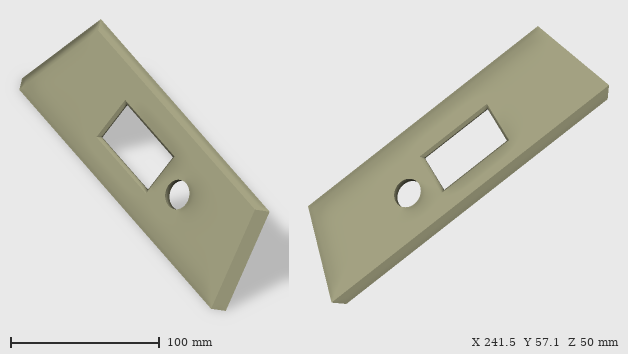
import cadquery as cq
import math

LENGTH = 241.5
HEIGHT = 50.0
THICKNESS = 5.0
LEAN = math.radians(45)
END_TAPER = math.radians(22.5)

OPENING_RISE = 0.5

WINDOW_X = -12.8
WINDOW_WIDTH = 54.8
WINDOW_HEIGHT = 29.2
WINDOW_CHAMFER = 2.0

HOLE_X = 36.7
HOLE_DIAMETER = 20.0

run = HEIGHT / math.tan(LEAN)
depth_offset = THICKNESS / math.sin(LEAN)

face_plane = cq.Plane(
    origin=(0, run / 2, HEIGHT / 2),
    xDir=(1, 0, 0),
    normal=(0, -math.sin(LEAN), math.cos(LEAN)),
)


def mitred_plate():
    """Leaning plate whose ends are the sloping planes of the octagon mitres."""
    bottom_back = LENGTH / 2
    bottom_front = bottom_back - depth_offset
    narrowing = HEIGHT * math.tan(END_TAPER)

    def outline(y, half_bottom):
        half_top = half_bottom - narrowing
        bottom = cq.Vector(half_bottom, y, 0)
        top = cq.Vector(half_top, y + run, HEIGHT)
        mirrored_top = cq.Vector(-half_top, y + run, HEIGHT)
        mirrored_bottom = cq.Vector(-half_bottom, y, 0)
        return cq.Wire.makePolygon([bottom, top, mirrored_top, mirrored_bottom], close=True)

    front = outline(0, bottom_front)
    back = outline(depth_offset, bottom_back)
    return cq.Workplane(cq.Solid.makeLoft([front, back], True))


def window_flare(start, direction):
    """45 degree flare from a plate face in to the straight window land."""
    outer_width = WINDOW_WIDTH + 2 * WINDOW_CHAMFER
    outer_height = WINDOW_HEIGHT + 2 * WINDOW_CHAMFER
    return (
        cq.Workplane(face_plane)
        .workplane(offset=start)
        .center(WINDOW_X, OPENING_RISE)
        .rect(outer_width, outer_height)
        .workplane(offset=direction * WINDOW_CHAMFER)
        .rect(WINDOW_WIDTH, WINDOW_HEIGHT)
        .loft(ruled=True)
    )


def window():
    land = (
        cq.Workplane(face_plane)
        .center(WINDOW_X, OPENING_RISE)
        .rect(WINDOW_WIDTH, WINDOW_HEIGHT)
        .extrude(-THICKNESS)
    )
    return land.union(window_flare(0, -1)).union(window_flare(-THICKNESS, 1))


def round_hole():
    return (
        cq.Workplane(face_plane)
        .center(HOLE_X, OPENING_RISE)
        .circle(HOLE_DIAMETER / 2)
        .extrude(-THICKNESS)
    )


result = mitred_plate().cut(window()).cut(round_hole())